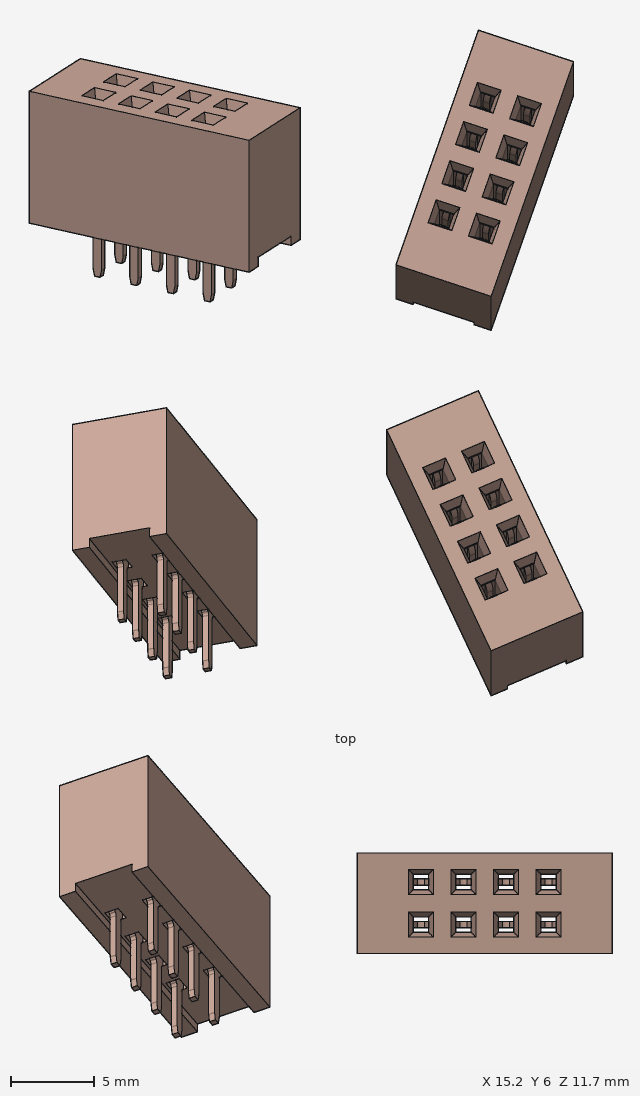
import cadquery as cq
import math


HOUSING_LENGTH = 15.24
HOUSING_WIDTH = 6.0
HOUSING_HEIGHT = 8.5
FOOT_WIDTH = 1.08
FOOT_HEIGHT = 0.6

COLUMNS = 4
ROWS = 2
PITCH = HOUSING_LENGTH / (COLUMNS + 2)

ENTRY_TOP = 1.5
ENTRY_BOTTOM = 0.9
ENTRY_DEPTH = 1.0

CONTACT_THICKNESS = 0.4
CONTACT_WIDTH = 1.0
PIN_WIDTH = 0.6
PIN_LENGTH = 3.2
PIN_TIP_WIDTH = 0.38
PIN_TIP_LENGTH = 0.49

SHOULDER_START = 0.29
SHOULDER_ANGLE = math.radians(50)

FORK_GAP = 0.41
FORK_MOUTH = 0.95
FORK_DEPTH = 2.75
LEAD_IN_RADIUS = 1.75
CROTCH_RADIUS = 0.41

CAVITY_FLOOR = FOOT_HEIGHT
CAVITY_TOP = HOUSING_HEIGHT - ENTRY_DEPTH
CAVITY_LENGTH = CONTACT_WIDTH
CAVITY_WIDTH = ENTRY_BOTTOM
GRID = [
    ((column - (COLUMNS - 1) / 2) * PITCH, (row - (ROWS - 1) / 2) * PITCH)
    for row in range(ROWS)
    for column in range(COLUMNS)
]


def arc_point(center_x, center_z, radius, angle):
    """Point on a circle in the XZ plane, with the angle measured from +X toward +Z."""
    return (center_x + radius * math.cos(angle), center_z + radius * math.sin(angle))


def make_entry():
    """Solid to cut for one funnel, narrowing downward from the top of the housing."""
    return (
        cq.Workplane("XY")
        .workplane(offset=CAVITY_TOP)
        .rect(ENTRY_BOTTOM, ENTRY_BOTTOM)
        .workplane(offset=ENTRY_DEPTH)
        .rect(ENTRY_TOP, ENTRY_TOP)
        .loft(ruled=True)
    )


def make_cavity():
    """Solid to cut for the straight cavity that holds one contact between its end walls."""
    return (
        cq.Workplane("XY")
        .workplane(offset=CAVITY_FLOOR)
        .rect(CAVITY_LENGTH, CAVITY_WIDTH)
        .extrude(CAVITY_TOP - CAVITY_FLOOR)
    )


def make_housing():
    """Block with a channel between two feet, and an entry and cavity for each contact."""
    block = cq.Workplane("XY").rect(HOUSING_LENGTH, HOUSING_WIDTH).extrude(HOUSING_HEIGHT)
    channel_width = HOUSING_WIDTH - 2 * FOOT_WIDTH
    channel = cq.Workplane("XY").rect(HOUSING_LENGTH, channel_width).extrude(FOOT_HEIGHT)
    housing = block.cut(channel)
    for x, y in GRID:
        housing = housing.cut(make_entry().translate((x, y, 0)))
        housing = housing.cut(make_cavity().translate((x, y, 0)))
    return housing


def make_half_contact():
    """The +X half of one contact, from its pin tip up to its fork."""
    pin_x = PIN_WIDTH / 2
    body_x = CONTACT_WIDTH / 2
    gap_x = FORK_GAP / 2
    mouth_x = FORK_MOUTH / 2

    shoulder_step = (body_x - pin_x) / 2
    shoulder_radius = shoulder_step / (1 - math.cos(SHOULDER_ANGLE))
    shoulder_rise = shoulder_radius * math.sin(SHOULDER_ANGLE)
    shoulder_middle = (pin_x + shoulder_step, SHOULDER_START + shoulder_rise)
    shoulder_end_z = SHOULDER_START + 2 * shoulder_rise
    concave_mid = arc_point(
        pin_x + shoulder_radius, SHOULDER_START, shoulder_radius, math.pi - SHOULDER_ANGLE / 2
    )
    convex_mid = arc_point(
        body_x - shoulder_radius, shoulder_end_z, shoulder_radius, -SHOULDER_ANGLE / 2
    )

    lead_in_angle = math.acos(1 - (mouth_x - gap_x) / LEAD_IN_RADIUS)
    lead_in_end_z = CAVITY_TOP - LEAD_IN_RADIUS * math.sin(lead_in_angle)
    lead_in_mid = arc_point(
        gap_x + LEAD_IN_RADIUS, lead_in_end_z, LEAD_IN_RADIUS, math.pi - lead_in_angle / 2
    )

    crotch_angle = math.asin(gap_x / CROTCH_RADIUS)
    crotch_z = CAVITY_TOP - FORK_DEPTH
    crotch_center_z = crotch_z + CROTCH_RADIUS
    crotch_edge_z = crotch_center_z - CROTCH_RADIUS * math.cos(crotch_angle)
    crotch_mid = arc_point(0, crotch_center_z, CROTCH_RADIUS, -math.pi / 2 + crotch_angle / 2)

    return (
        cq.Workplane("XZ")
        .moveTo(0, -PIN_LENGTH)
        .lineTo(PIN_TIP_WIDTH / 2, -PIN_LENGTH)
        .lineTo(pin_x, PIN_TIP_LENGTH - PIN_LENGTH)
        .lineTo(pin_x, SHOULDER_START)
        .threePointArc(concave_mid, shoulder_middle)
        .threePointArc(convex_mid, (body_x, shoulder_end_z))
        .lineTo(body_x, CAVITY_TOP)
        .lineTo(mouth_x, CAVITY_TOP)
        .threePointArc(lead_in_mid, (gap_x, lead_in_end_z))
        .lineTo(gap_x, crotch_edge_z)
        .threePointArc(crotch_mid, (0, crotch_z))
        .close()
        .extrude(CONTACT_THICKNESS / 2, both=True)
    )


def make_contact():
    """One whole contact: the half profile joined to its mirror image."""
    half = make_half_contact()
    return half.union(half.mirror("YZ"))


housing = make_housing()
contact = make_contact()
contacts = [contact.translate((x, y, 0)) for x, y in GRID]

result = cq.Compound.makeCompound([housing.val(), *[placed.val() for placed in contacts]])